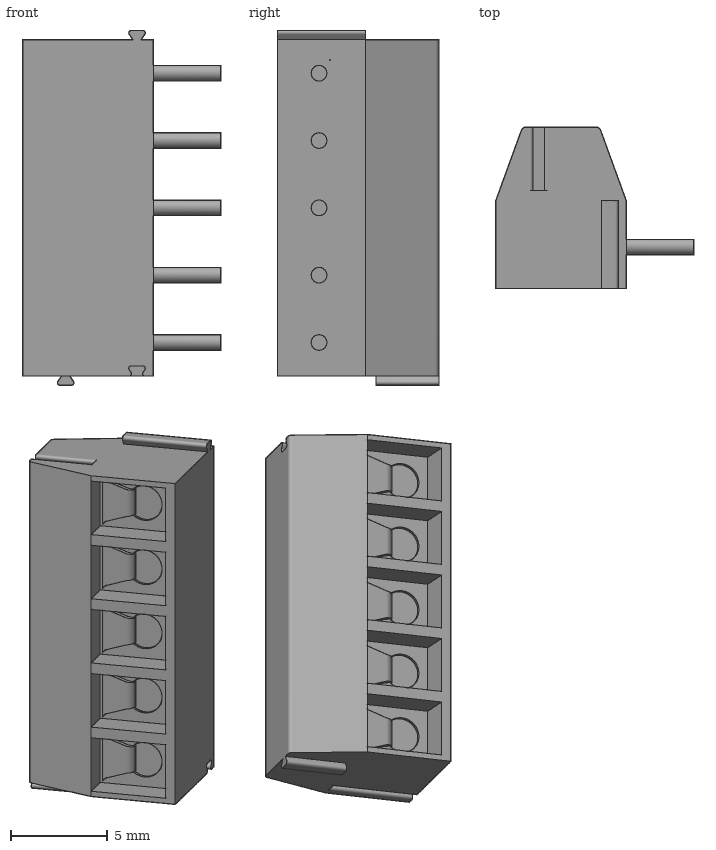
import cadquery as cq
import math


pole_count = 5
overall_height = 18.46
rail_height = 0.48
body_height = overall_height - 2 * rail_height
pole_pitch = body_height / pole_count
body_width = 6.8
body_depth = 8.4
shoulder_y = 4.58
taper_angle = 20.0
rear_corner_radius = 0.25

pin_length = 3.5
pin_diameter = 0.81
pin_y = 2.16

flank_angle = 55.0
lower_joint_x = 2.23
upper_joint_x = 5.95
rear_joint_start_y = 5.11
rail_root_width = 0.45
rail_corner_radius = 0.138
slot_depth = 0.54
slot_root_width = 0.35
slot_corner_radius = 0.13
slot_lip_radius = 0.13

entry_height = 2.92
entry_depth = 1.6
entry_front_y = 0.52
entry_front_y_inside = 0.74
hole_diameter = 1.88
hole_depth = 0.18

tongue_rise = 0.28
tongue_rear_y = 4.45
tongue_flat_rear_y = 4.14
tongue_flat_front_y = 3.08
tongue_front_y = 2.7
tongue_rear_width = 2.73
tongue_flat_rear_width = 2.18
tongue_flat_front_width = 1.48
tongue_front_width = 1.37
flare_mid_y = 4.26
flare_mid_width = 2.35

pole_heights = [(i + 0.5) * pole_pitch for i in range(pole_count)]


def make_housing():
    """Block with both sides tapering towards a narrower, rounded rear."""
    taper_run = (body_depth - shoulder_y) * math.tan(math.radians(taper_angle))
    outline = [
        (0, 0),
        (body_width, 0),
        (body_width, shoulder_y),
        (body_width - taper_run, body_depth),
        (taper_run, body_depth),
        (0, shoulder_y),
    ]
    block = cq.Workplane("XY").polyline(outline).close().extrude(body_height)
    return block.edges("|Z and >Y").fillet(rear_corner_radius)


def make_dovetail(root_width, height, length, corner_radius):
    """Dovetail bar along +Y, standing on Z = 0 and centred on X = 0."""
    half_root = root_width / 2
    half_top = half_root + height / math.tan(math.radians(flank_angle))
    outline = [(-half_root, 0), (half_root, 0), (half_top, height), (-half_top, height)]
    bar = cq.Workplane("XZ").polyline(outline).close().extrude(-length)
    return bar.edges("|Y and >Z").fillet(corner_radius)


def make_rail(length):
    return make_dovetail(rail_root_width, rail_height, length, rail_corner_radius)


def make_slot(length):
    """Dovetail cutter whose mouth leaves rounded lips on the housing."""
    dovetail = make_dovetail(slot_root_width, slot_depth, length, slot_corner_radius)
    flank = math.radians(flank_angle)
    tangent_length = slot_lip_radius / math.tan(flank / 2)
    sharp_x = slot_root_width / 2
    centre_x = sharp_x + tangent_length
    flank_point = (sharp_x + tangent_length * math.cos(flank), tangent_length * math.sin(flank))
    neck_point = (centre_x - slot_lip_radius, slot_lip_radius)
    mouth = (
        cq.Workplane("XZ")
        .moveTo(-centre_x, 0)
        .lineTo(centre_x, 0)
        .threePointArc(neck_point, flank_point)
        .lineTo(-flank_point[0], flank_point[1])
        .threePointArc((-neck_point[0], neck_point[1]), (-centre_x, 0))
        .close()
        .extrude(-length)
    )
    return dovetail.union(mouth)


def turn_over(shape):
    """Turn a bar that stands on Z = 0 so that it hangs below it."""
    return shape.mirror("XY")


def make_entry():
    """Wire entry pocket with a drafted front wall and a shallow round recess behind."""
    outline = [
        (0, entry_front_y),
        (entry_depth, entry_front_y_inside),
        (entry_depth, shoulder_y),
        (0, shoulder_y),
    ]
    pocket = (
        cq.Workplane("XY")
        .workplane(offset=-entry_height / 2)
        .polyline(outline)
        .close()
        .extrude(entry_height)
    )
    hole = (
        cq.Workplane("YZ")
        .workplane(offset=entry_depth)
        .center(pin_y, 0)
        .circle(hole_diameter / 2)
        .extrude(hole_depth)
    )
    return pocket.union(hole)


def make_tongue():
    """Flared tongue with rolled ends, raised from the back wall of an entry."""
    crest_x = entry_depth - tongue_rise
    root_x = entry_depth + hole_depth
    roll_run = tongue_rear_y - tongue_flat_rear_y
    roll_radius = (roll_run**2 + tongue_rise**2) / (2 * tongue_rise)
    half_sweep = math.atan2(tongue_rise, roll_run)
    rear_roll_mid = (
        crest_x + roll_radius * (1 - math.cos(half_sweep)),
        tongue_flat_rear_y + roll_radius * math.sin(half_sweep),
    )
    section = (
        cq.Workplane("XY")
        .workplane(offset=-entry_height / 2)
        .moveTo(crest_x, tongue_flat_rear_y)
        .lineTo(crest_x, tongue_flat_front_y)
        .tangentArcPoint((entry_depth, tongue_front_y), relative=False)
        .lineTo(root_x, tongue_front_y)
        .lineTo(root_x, tongue_rear_y)
        .lineTo(entry_depth, tongue_rear_y)
        .threePointArc(rear_roll_mid, (crest_x, tongue_flat_rear_y))
        .close()
        .extrude(entry_height)
    )
    outline = (
        cq.Workplane("YZ")
        .workplane(offset=crest_x)
        .moveTo(tongue_rear_y, tongue_rear_width / 2)
        .threePointArc(
            (flare_mid_y, flare_mid_width / 2), (tongue_flat_rear_y, tongue_flat_rear_width / 2)
        )
        .lineTo(tongue_flat_front_y, tongue_flat_front_width / 2)
        .lineTo(tongue_front_y, tongue_front_width / 2)
        .lineTo(tongue_front_y, -tongue_front_width / 2)
        .lineTo(tongue_flat_front_y, -tongue_flat_front_width / 2)
        .lineTo(tongue_flat_rear_y, -tongue_flat_rear_width / 2)
        .threePointArc((flare_mid_y, -flare_mid_width / 2), (tongue_rear_y, -tongue_rear_width / 2))
        .close()
        .extrude(root_x - crest_x)
    )
    return section.intersect(outline)


def make_pin():
    return (
        cq.Workplane("YZ")
        .workplane(offset=body_width)
        .center(pin_y, 0)
        .circle(pin_diameter / 2)
        .extrude(pin_length)
    )


result = make_housing()

entry = make_entry().cut(make_tongue())
pin = make_pin()
for height in pole_heights:
    result = result.cut(entry.translate((0, 0, height)))
    result = result.union(pin.translate((0, 0, height)))

front_joint_length = shoulder_y
rear_joint_length = body_depth - rear_joint_start_y
result = result.cut(make_slot(front_joint_length).translate((upper_joint_x, 0, 0)))
result = result.cut(
    turn_over(make_slot(rear_joint_length)).translate((lower_joint_x, rear_joint_start_y, body_height))
)
result = result.union(make_rail(front_joint_length).translate((upper_joint_x, 0, body_height)))
result = result.union(
    turn_over(make_rail(rear_joint_length)).translate((lower_joint_x, rear_joint_start_y, 0))
)